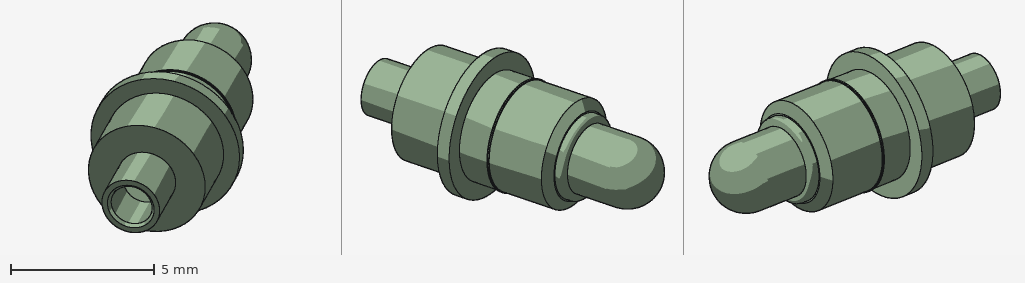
import cadquery as cq
import math

length = 11.8
tail_end = -length / 2
tip = length / 2

tail_radius = 1.05
tail_length = 2.01
base_radius = 2.12
base_length = 2.31
flange_radius = 2.7
flange_thickness = 0.5

barrel_radius = 2.05
barrel_length = 3.45
band_radius = 2.09
band_width = 0.07
band_offset = 1.18
shoulder_length = 0.26
shoulder_front_radius = 1.65

collar_radius = 1.59
collar_length = 0.33
collar_rounding = 0.13
plunger_radius = 1.3

cup_radius = 0.74
cup_mouth_chamfer = 0.11
cup_depth = 1.65
cup_point_angle = 118.0

base_start = tail_end + tail_length
flange_start = base_start + base_length
barrel_start = flange_start + flange_thickness
band_start = barrel_start + band_offset
shoulder_start = barrel_start + barrel_length
collar_start = shoulder_start + shoulder_length
plunger_start = collar_start + collar_length
dome_start = tip - plunger_radius


def cylinder(radius, start, end):
    """Cylinder on the Y axis between two stations."""
    return cq.Workplane("XZ", origin=(0, start, 0)).circle(radius).extrude(start - end)


def revolve_profile(profile):
    """Turn a closed profile, drawn as (radius, Y), about the Y axis."""
    return profile.close().revolve(360, (0, 0, 0), (0, 1, 0))


def make_shoulder():
    return revolve_profile(
        cq.Workplane("XY")
        .moveTo(0, shoulder_start)
        .lineTo(barrel_radius, shoulder_start)
        .lineTo(shoulder_front_radius, collar_start)
        .lineTo(0, collar_start)
    )


def make_collar():
    collar = cylinder(collar_radius, collar_start, plunger_start)
    return collar.faces(">Y").edges().fillet(collar_rounding)


def make_plunger():
    arc_offset = plunger_radius * math.sqrt(0.5)
    return revolve_profile(
        cq.Workplane("XY")
        .moveTo(0, plunger_start)
        .lineTo(plunger_radius, plunger_start)
        .lineTo(plunger_radius, dome_start)
        .threePointArc((arc_offset, dome_start + arc_offset), (0, tip))
    )


def make_solder_cup():
    cone_height = cup_radius / math.tan(math.radians(cup_point_angle / 2))
    cup_bottom = tail_end + cup_depth
    return revolve_profile(
        cq.Workplane("XY")
        .moveTo(0, tail_end)
        .lineTo(cup_radius + cup_mouth_chamfer, tail_end)
        .lineTo(cup_radius, tail_end + cup_mouth_chamfer)
        .lineTo(cup_radius, cup_bottom)
        .lineTo(0, cup_bottom + cone_height)
    )


result = (
    cylinder(tail_radius, tail_end, base_start)
    .union(cylinder(base_radius, base_start, flange_start))
    .union(cylinder(flange_radius, flange_start, barrel_start))
    .union(cylinder(barrel_radius, barrel_start, shoulder_start))
    .union(cylinder(band_radius, band_start, band_start + band_width))
    .union(make_shoulder())
    .union(make_collar())
    .union(make_plunger())
    .cut(make_solder_cup())
)